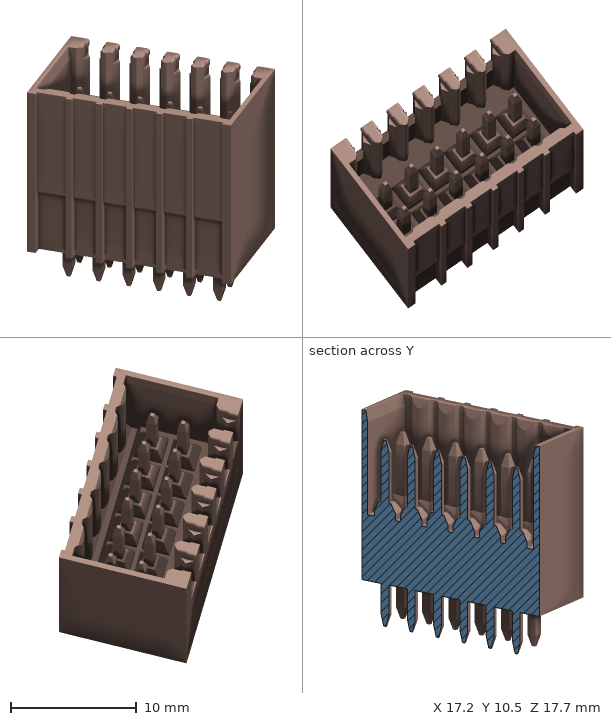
import cadquery as cq

length = 17.2
depth = 10.5
height = 14.2
front_y = -depth / 2
back_y = depth / 2

columns = 6
pin_span = 12.7
pitch = pin_span / (columns - 1)
column_xs = [(i - (columns - 1) / 2) * pitch for i in range(columns)]
gap_xs = [x + pitch / 2 for x in column_xs[:-1]]
back_row_inset = 4.32
back_row_y = back_y - back_row_inset
front_row_y = back_row_y - pitch

pin_width = 0.8
pin_point_width = 0.28
pin_point_length = 1.01
pin_top_z = 12.04
pin_bottom_z = -3.5

front_wall = 0.95
back_wall = 1.9
end_wall = 0.42
end_lead_in = 0.18
lead_in_height = 1.0
cavity_front_y = front_y + front_wall
cavity_back_y = back_y - back_wall
cavity_half_length = length / 2 - end_wall

trough_z = 4.92
trough_front_slope = 0.53
trough_width = 0.48
floor_slope_run = 0.34
slope_ratio = 1.8
trough_back_y = cavity_front_y + trough_front_slope + trough_width
floor_front_y = trough_back_y + floor_slope_run
floor_z = trough_z + floor_slope_run * slope_ratio

collar_top_width = 1.2
collar_width = 2.1
collar_back_reach = 1.22
collar_row_gap = 0.42
collar_front_run = front_row_y - collar_top_width / 2 - trough_back_y
collar_top_z = trough_z + collar_front_run * slope_ratio

end_rib_width = 0.73
rib_width = 0.51
panel_recess = 0.3
lower_recess_extra = 0.48
upper_panel_height = 8.81
panel_step_z = height - upper_panel_height

hump_width = 2.16
hump_flank = 0.27
hump_height = 0.46
hump_lead_in = 0.21
hump_lead_in_height = 0.76

sill_depth = 0.76
sill_z = 9.2
lip_width = 1.36
lip_height = 0.5
slot_width = 1.54
slot_straight_depth = 1.5
slot_round = 0.2
slot_mouth_width = slot_width + 2 * (back_wall - slot_straight_depth)

key_reach = 0.37
key_half_depth = 0.57
key_top_drop = 1.17
key_top_z = height - key_top_drop


def box(x0, x1, y0, y1, z0, z1):
    return cq.Workplane("XY").box(x1 - x0, y1 - y0, z1 - z0, centered=False).translate((x0, y0, z0))


def frustum(x, y, z, bottom_width, top_width, rise):
    """Square frustum standing on z; a negative rise makes it hang below."""
    return (
        cq.Workplane("XY", origin=(x, y, z))
        .rect(bottom_width, bottom_width)
        .workplane(offset=rise)
        .rect(top_width, top_width)
        .loft(ruled=True)
    )


def prism_along_x(points, x0, x1):
    """Extrude a (y, z) outline from x0 to x1."""
    return cq.Workplane("YZ", origin=(x0, 0, 0)).polyline(points).close().extrude(x1 - x0)


def prism_up(points, z0, z1):
    """Extrude an (x, y) outline from z0 to z1."""
    return cq.Workplane("XY", origin=(0, 0, z0)).polyline(points).close().extrude(z1 - z0)


def cavity():
    inner_half = cavity_half_length
    low_half = inner_half - end_lead_in
    outline = [
        (-low_half, trough_z),
        (low_half, trough_z),
        (low_half, height - lead_in_height),
        (inner_half, height),
        (-inner_half, height),
        (-low_half, height - lead_in_height),
    ]
    space = cq.Workplane("XZ", origin=(0, cavity_back_y, 0)).polyline(outline).close()
    return space.extrude(cavity_back_y - cavity_front_y)


def floor_fill():
    """Raised floor behind the trough and the slope at the foot of the front wall."""
    low_half = cavity_half_length - end_lead_in
    raised = prism_along_x(
        [
            (trough_back_y, trough_z),
            (floor_front_y, floor_z),
            (cavity_back_y, floor_z),
            (cavity_back_y, trough_z),
        ],
        -low_half,
        low_half,
    )
    foot = prism_along_x(
        [
            (cavity_front_y, trough_z),
            (cavity_front_y, trough_z + trough_front_slope),
            (cavity_front_y + trough_front_slope, trough_z),
        ],
        -low_half,
        low_half,
    )
    return raised.union(foot)


def collar(x, y, cell_front_y, cell_back_y):
    """Pyramid around a pin, trimmed to its own cell of the grid."""
    rise = collar_top_z - trough_z
    base_width = collar_top_width + 2 * rise / slope_ratio
    pyramid = frustum(x, y, trough_z, base_width, collar_top_width, rise)
    half = collar_width / 2
    return pyramid.intersect(box(x - half, x + half, cell_front_y, cell_back_y, trough_z, collar_top_z))


def pin(x, y):
    half = pin_width / 2
    shank_bottom_z = pin_bottom_z + pin_point_length
    shank_top_z = pin_top_z - pin_point_length
    shank = box(x - half, x + half, y - half, y + half, shank_bottom_z, shank_top_z)
    upper = frustum(x, y, shank_top_z, pin_width, pin_point_width, pin_point_length)
    lower = frustum(x, y, shank_bottom_z, pin_width, pin_point_width, -pin_point_length)
    return shank.union(upper).union(lower)


def panel_cut(x0, x1):
    upper_y = front_y + panel_recess
    lower_y = upper_y + lower_recess_extra
    return prism_along_x(
        [
            (front_y, 0),
            (lower_y, 0),
            (lower_y, panel_step_z - lower_recess_extra),
            (upper_y, panel_step_z),
            (upper_y, height),
            (front_y, height),
        ],
        x0,
        x1,
    )


def hump(x):
    """Rounded hump on the front wall with a lead-in slope at its top."""
    half = hump_width / 2
    tip_y = cavity_front_y + hump_height
    flank_y = cavity_front_y + hump_flank
    body = (
        cq.Workplane("XY", origin=(0, 0, trough_z))
        .moveTo(x - half, cavity_front_y)
        .lineTo(x - half + hump_flank, flank_y)
        .threePointArc((x, tip_y), (x + half - hump_flank, flank_y))
        .lineTo(x + half, cavity_front_y)
        .close()
        .extrude(height - trough_z)
    )
    lead_in = prism_along_x(
        [(tip_y, height - hump_lead_in_height), (tip_y, height), (tip_y - hump_lead_in, height)],
        x - half,
        x + half,
    )
    return body.cut(lead_in)


def rounded_channel(x, width, y0, y1, z0):
    """Slot along Y whose upper edges are rounded outward."""
    half = width / 2
    profile = (
        cq.Workplane("XZ", origin=(x, y1, 0))
        .moveTo(-half, z0)
        .lineTo(half, z0)
        .lineTo(half, height - slot_round)
        .radiusArc((half + slot_round, height), slot_round)
        .lineTo(-half - slot_round, height)
        .radiusArc((-half, height - slot_round), slot_round)
        .close()
    )
    return profile.extrude(y1 - y0)


def slot_cut(x):
    sill_y = back_y - sill_depth
    straight_y = back_y - slot_straight_depth
    half = slot_width / 2
    mouth_half = slot_mouth_width / 2
    lip_z = height - lip_height
    over_sill = box(x - half, x + half, sill_y, back_y, sill_z, lip_z)
    between_lips = rounded_channel(x, lip_width, sill_y, back_y, lip_z)
    straight = rounded_channel(x, slot_width, cavity_back_y, sill_y, floor_z)
    mouth = prism_up(
        [
            (x - half, straight_y),
            (x + half, straight_y),
            (x + mouth_half, cavity_back_y),
            (x - mouth_half, cavity_back_y),
        ],
        floor_z,
        height,
    )
    return over_sill.union(between_lips).union(straight).union(mouth)


def slot_key(x, side):
    """Triangular key on one side of a slot, its ridge over the sill's front edge."""
    wall_x = x + side * slot_width / 2
    ridge_y = back_y - sill_depth
    outline = [
        (wall_x, ridge_y + key_half_depth),
        (wall_x - side * key_reach, ridge_y),
        (wall_x, ridge_y - key_half_depth),
    ]
    return prism_up(outline, floor_z, key_top_z)


rib_edges = [-length / 2 + end_rib_width]
for gap_x in gap_xs:
    rib_edges += [gap_x - rib_width / 2, gap_x + rib_width / 2]
rib_edges.append(length / 2 - end_rib_width)
panel_sides = zip(rib_edges[0::2], rib_edges[1::2])

removed = [cavity()]
removed += [panel_cut(left, right) for left, right in panel_sides]
removed += [slot_cut(x) for x in column_xs]

row_middle_y = (back_row_y + front_row_y) / 2
front_cell_back_y = row_middle_y - collar_row_gap / 2
back_cell_front_y = row_middle_y + collar_row_gap / 2
back_cell_back_y = back_row_y + collar_back_reach

added = [floor_fill()]
for x in column_xs:
    added.append(hump(x))
    added += [slot_key(x, side) for side in (-1, 1)]
    added.append(collar(x, front_row_y, trough_back_y, front_cell_back_y))
    added.append(collar(x, back_row_y, back_cell_front_y, back_cell_back_y))
    added += [pin(x, row_y) for row_y in (front_row_y, back_row_y)]

block = box(-length / 2, length / 2, front_y, back_y, 0, height)
shell = block.val().cut(*[piece.val() for piece in removed])
header = shell.fuse(*[piece.val() for piece in added]).clean()
result = cq.Workplane("XY").newObject(header.Solids())